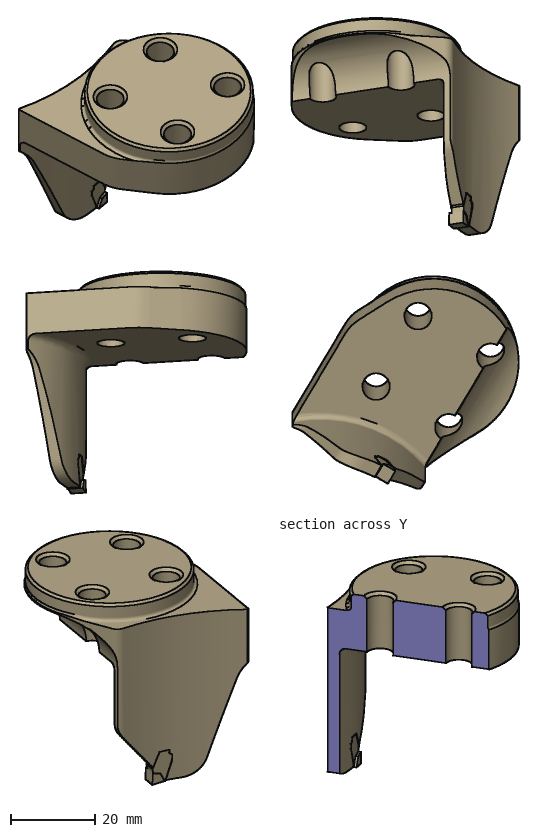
import cadquery as cq
import math


DISC_RADIUS = 40.0 / 2
DISC_CHAMFER = 0.6
DISC_BASE_Z = -3.55
SHOULDER_Z = -4.4
FLARE_RADIUS = 0.85

PLATE_RADIUS = 20.25
PLATE_BOTTOM_Z = -14.45
LEFT_X = -27.5
FRONT_Y = -22.75
LEFT_FLAT = 0.45
WALL_BACK = (-22.95, 10.0)
WALL_MIDDLE = (-22.75, -7.55)
BACK_SLOPE = 31
FRONT_SLOPE = 27
BACK_CORNER_RADIUS = 2.5
FRONT_CORNER_RADIUS = 10.0
SCALLOP_RADIUS = 10.0

HOLE_DIAMETER = 6.5
HOLE_MOUTH_DIAMETER = 8.0
HOLE_OFFSET = 9.95

ARM_INNER_RADIUS = 32.65
ARM_INNER_X = -18.85
ARM_INNER_CENTER_Y = -1.2
ARM_BACK_Y = 9.85
ARM_BOTTOM_Z = -47.4
ARM_TIP_RADIUS = 6.5
ARM_ROOT_FILLET = 1.45
BACK_BEND = [(ARM_BACK_Y, -29.7), (9.45, -31.7), (8.5, -33.3)]
FRONT_BEND = [(-20.25, -22.15), (-21.2, -20.15), (FRONT_Y, -18.2)]
INSERT_SEAT = (0.3, -43.75)
SEAT_TOP_Z = -43.2
SEAT_FOOT_Y = -2.4
TIP_CORNER = (-11.9, ARM_BOTTOM_Z)

INSERT_OUTER_X = -22.2
INSERT_INNER_X = -19.05
TIP_INNER_X = -18.4
RAKE_DEPTH = 0.2
INSERT_BOTTOM_Z = -48
TIP_FRONT = (-3.1, -47.7)
TIP_POINT = (0.25, INSERT_BOTTOM_Z)
TIP_TOP = (0.1, -44.95)
TIP_SHOULDER = (-1.8, -45.35)
INSERT_OUTLINE = [
    TIP_FRONT, TIP_POINT, TIP_TOP, INSERT_SEAT,
    (-1.65, -39.6), (-4.2, -39.6), (-4.2, -40.45), (-4.95, -41.05), (-4.95, -42.25),
]


def tangent_point(slope, side):
    """Point where an edge of the given slope touches the plate radius (side +1 back, -1 front)."""
    angle = math.radians(slope)
    return (-side * PLATE_RADIUS * math.sin(angle), side * PLATE_RADIUS * math.cos(angle))


def plate_prism(bottom_z, top_z):
    """Plate outline, from the sharp left wall round to the disc side."""
    back = tangent_point(BACK_SLOPE, 1)
    front = tangent_point(FRONT_SLOPE, -1)
    corner_x = front[0] - (front[1] - FRONT_Y) / math.tan(math.radians(FRONT_SLOPE))
    prism = (
        cq.Workplane("XY", origin=(0, 0, bottom_z))
        .moveTo(LEFT_X, FRONT_Y)
        .lineTo(corner_x, FRONT_Y)
        .lineTo(*front)
        .threePointArc((PLATE_RADIUS, 0), back)
        .lineTo(*WALL_BACK)
        .threePointArc(WALL_MIDDLE, (LEFT_X, FRONT_Y + LEFT_FLAT))
        .close()
        .extrude(top_z - bottom_z)
    )
    front_corner = cq.selectors.NearestToPointSelector((corner_x, FRONT_Y, (bottom_z + top_z) / 2))
    back_corner = cq.selectors.NearestToPointSelector((*WALL_BACK, (bottom_z + top_z) / 2))
    prism = prism.edges("|Z").edges(front_corner).fillet(FRONT_CORNER_RADIUS)
    return prism.edges("|Z").edges(back_corner).fillet(BACK_CORNER_RADIUS)


def flange_disc():
    """Disc with a chamfered rim and a foot that flares out onto the shoulder."""
    return (
        cq.Workplane("XZ")
        .lineTo(DISC_RADIUS - DISC_CHAMFER, 0)
        .lineTo(DISC_RADIUS, -DISC_CHAMFER)
        .lineTo(DISC_RADIUS, DISC_BASE_Z)
        .radiusArc((DISC_RADIUS + FLARE_RADIUS, SHOULDER_Z), -FLARE_RADIUS)
        .lineTo(0, SHOULDER_Z)
        .close()
        .revolve(360, (0, 0, 0), (0, 1, 0))
    )


def arm_side_profile():
    """Arm outline seen along X, as a prism through the whole width of the part."""
    profile = (
        cq.Workplane("YZ", origin=(LEFT_X, 0, 0))
        .moveTo(ARM_BACK_Y, SHOULDER_Z)
        .lineTo(*BACK_BEND[0])
        .threePointArc(*BACK_BEND[1:])
        .lineTo(INSERT_SEAT[0], SEAT_TOP_Z)
        .lineTo(*INSERT_SEAT)
        .lineTo(SEAT_FOOT_Y, ARM_BOTTOM_Z)
        .lineTo(*TIP_CORNER)
        .lineTo(*FRONT_BEND[0])
        .threePointArc(*FRONT_BEND[1:])
        .lineTo(FRONT_Y, SHOULDER_Z)
        .close()
        .extrude(-2 * LEFT_X)
    )
    tip_edge = cq.selectors.NearestToPointSelector((0, *TIP_CORNER))
    return profile.edges("|X").edges(tip_edge).fillet(ARM_TIP_RADIUS)


def arm():
    """Curved blade between the plate's left wall and a bulging cylindrical inner face."""
    inner_cylinder = (
        cq.Workplane("XY", origin=(ARM_INNER_X - ARM_INNER_RADIUS, ARM_INNER_CENTER_Y, ARM_BOTTOM_Z))
        .circle(ARM_INNER_RADIUS)
        .extrude(SHOULDER_Z - ARM_BOTTOM_Z)
    )
    return plate_prism(ARM_BOTTOM_Z, SHOULDER_Z).intersect(inner_cylinder).intersect(arm_side_profile())


def back_scallop():
    """Concave sweep that thins the plate toward its back edge."""
    return (
        cq.Workplane("YZ", origin=(LEFT_X, 0, 0))
        .center(ARM_BACK_Y + SCALLOP_RADIUS, PLATE_BOTTOM_Z)
        .circle(SCALLOP_RADIUS)
        .extrude(-2 * LEFT_X)
    )


def screw_holes():
    """Four through holes with chamfered mouths."""
    mouth_depth = (HOLE_MOUTH_DIAMETER - HOLE_DIAMETER) / 2
    places = [(x, y) for x in (-HOLE_OFFSET, HOLE_OFFSET) for y in (-HOLE_OFFSET, HOLE_OFFSET)]
    drills = cq.Workplane("XY").pushPoints(places).circle(HOLE_DIAMETER / 2).extrude(PLATE_BOTTOM_Z)
    for x, y in places:
        mouth = cq.Solid.makeCone(
            HOLE_DIAMETER / 2, HOLE_MOUTH_DIAMETER / 2, mouth_depth, pnt=(x, y, -mouth_depth)
        )
        drills = drills.union(cq.Workplane(mouth))
    return drills


def insert_prism(outline, outer_x, inner_x):
    """Outline in Y and Z, extruded along X from the outer to the inner face."""
    return cq.Workplane("YZ", origin=(outer_x, 0, 0)).polyline(outline).close().extrude(inner_x - outer_x)


def make_insert():
    """Flat insert with a proud cutting tip and a lowered rake face."""
    tip_outline = [TIP_FRONT, TIP_POINT, TIP_TOP, TIP_SHOULDER]
    blade = insert_prism(INSERT_OUTLINE, INSERT_OUTER_X, INSERT_INNER_X)
    tip = insert_prism(tip_outline, INSERT_INNER_X, TIP_INNER_X)
    rake = insert_prism(tip_outline, INSERT_OUTER_X, INSERT_OUTER_X + RAKE_DEPTH)
    return blade.union(tip).cut(rake)


def make_holder():
    """Plate, arm and disc in one piece, with the insert's pocket through the arm."""
    root_edge = cq.selectors.NearestToPointSelector((ARM_INNER_X, ARM_INNER_CENTER_Y, PLATE_BOTTOM_Z))
    body = plate_prism(PLATE_BOTTOM_Z, SHOULDER_Z).cut(back_scallop()).union(arm())
    body = body.edges(root_edge).fillet(ARM_ROOT_FILLET)
    disc = flange_disc().intersect(plate_prism(SHOULDER_Z, 0))
    pocket = insert_prism(INSERT_OUTLINE, LEFT_X, 0)
    return body.union(disc).cut(screw_holes()).cut(pocket)


holder = make_holder()
insert = make_insert()
result = cq.Compound.makeCompound([holder.val(), insert.val()])